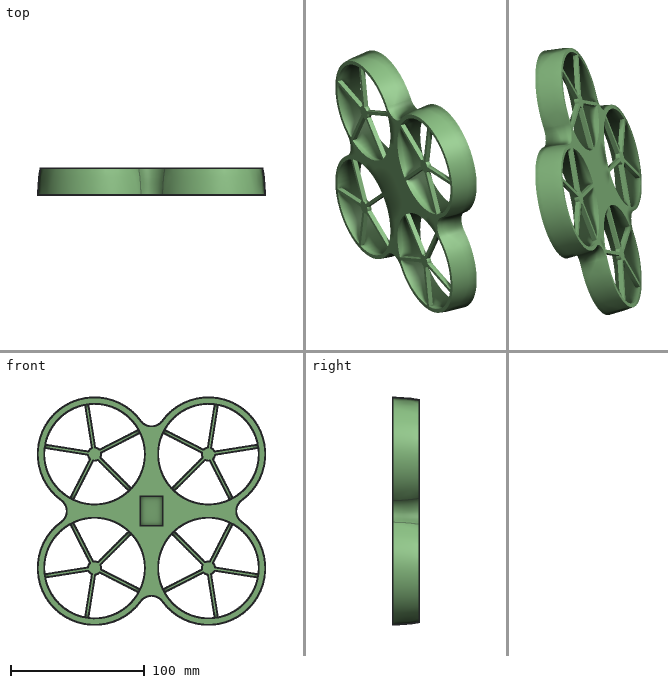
import cadquery as cq
import math

frame_width = 170.0
frame_depth = 20.0
wall = 5.0
ring_radius = frame_width / 4
ring_offset = frame_width / 2 - ring_radius
bore_radius = ring_radius - wall
front_y = -frame_depth / 2
back_y = frame_depth / 2

wall_curve_radius = 100.0
neck_radius = 10.0
neck_offset = ring_offset + math.sqrt((ring_radius + neck_radius) ** 2 - ring_offset**2)

hub_radius = 5.0
spoke_count = 5
spoke_width = 2.6
mount_depth = 3.5
mount_front_y = back_y - mount_depth
spoke_overlap = wall / 4

pocket_width = 16.6
pocket_height = 22.2
pocket_depth = 4.5


def wall_inset(y):
    """Distance the outer wall has moved inwards at depth y."""
    return wall_curve_radius - math.sqrt(wall_curve_radius**2 - (y - front_y) ** 2)


def curved_disc(front_radius, inset_sign):
    """Disc along Y whose rim follows the wall curve, shrinking (1) or growing (-1)."""
    middle_radius = front_radius - inset_sign * wall_inset(0)
    back_radius = front_radius - inset_sign * wall_inset(back_y)
    return (
        cq.Workplane("XY")
        .moveTo(0, front_y)
        .lineTo(front_radius, front_y)
        .threePointArc((middle_radius, 0), (back_radius, back_y))
        .lineTo(0, back_y)
        .close()
        .revolve(360, (0, 0), (0, 1))
    )


def prism(sketch, start_y, depth):
    """Solid from a closed XZ-plane sketch, running from start_y towards +Y."""
    return sketch.extrude(-depth).translate((0, start_y, 0))


def make_web():
    """Web between the rings: its corners are the neck and ring centres in turn."""
    corners = [
        (neck_offset, 0),
        (ring_offset, ring_offset),
        (0, neck_offset),
        (-ring_offset, ring_offset),
        (-neck_offset, 0),
        (-ring_offset, -ring_offset),
        (0, -neck_offset),
        (ring_offset, -ring_offset),
    ]
    web = prism(cq.Workplane("XZ").polyline(corners).close(), front_y, frame_depth)
    neck = curved_disc(neck_radius, -1)
    neck_centres = corners[::2]
    for x, z in neck_centres:
        web = web.cut(neck.translate((x, 0, z)))
    return web


def make_mount(inward_angle):
    """Hub with evenly spaced spokes, one of them at inward_angle in the XZ plane."""
    mount = prism(cq.Workplane("XZ").circle(hub_radius), mount_front_y, mount_depth)
    spoke_length = bore_radius + spoke_overlap
    spoke_sketch = cq.Workplane("XZ").center(spoke_length / 2, 0).rect(spoke_length, spoke_width)
    spoke = prism(spoke_sketch, mount_front_y, mount_depth)
    for index in range(spoke_count):
        angle = inward_angle + index * 360 / spoke_count
        mount = mount.union(spoke.rotate((0, 0, 0), (0, -1, 0), angle))
    return mount


ring_centres = [(x, z) for x in (-ring_offset, ring_offset) for z in (-ring_offset, ring_offset)]

frame = make_web()
for x, z in ring_centres:
    frame = frame.union(curved_disc(ring_radius, 1).translate((x, 0, z)))

for x, z in ring_centres:
    bore = prism(cq.Workplane("XZ").circle(bore_radius), front_y, frame_depth)
    frame = frame.cut(bore.translate((x, 0, z)))

for x, z in ring_centres:
    inward_angle = math.degrees(math.atan2(-z, -x))
    frame = frame.union(make_mount(inward_angle).translate((x, 0, z)))

pocket = prism(cq.Workplane("XZ").rect(pocket_width, pocket_height), front_y, pocket_depth)
result = frame.cut(pocket)